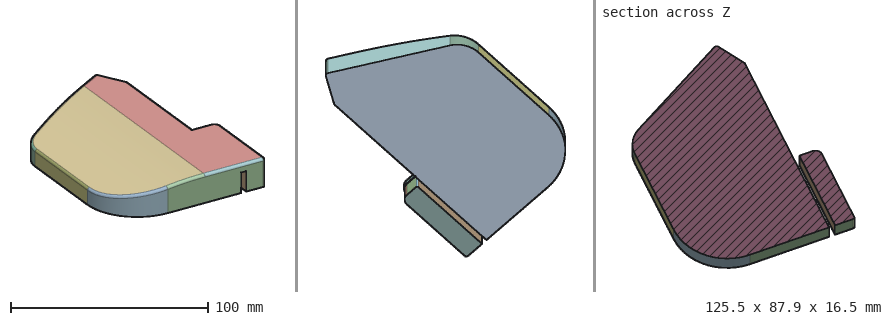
import cadquery as cq
import math

length = 125.5
width = 87.9
height = 16.5

shoulder_y = 73.3
tab_x = 78.3
slant_angle = 60.0
bevel_x = 15.3
tip_radius = 1.5
front_left_radius = 15.1
front_right_radius = 29.6
tab_corner_radius = 3.8
rear_right_radius = 1.5
top_fillet = 1.5

crown_y = 51.7
crown_radius = 194.6

groove_width = 3.1
groove_height = 11.7
post_inset = 0.3
post_edge_radius = 0.8
cut_margin = 6.3

slant = math.radians(slant_angle)
tip_x = -tip_radius * (math.sin(slant) + math.cos(slant) - 1)
tip_y = shoulder_y - (bevel_x - tip_x) / math.tan(slant)
front_left_x = tip_x + tip_y / math.tan(slant)


def round_upright(body, x, y, radius):
    """Round the vertical edge of the body that stands at (x, y)."""
    edge = cq.selectors.NearestToPointSelector((x, y, height / 2))
    return body.edges("|Z").edges(edge).fillet(radius)


def make_block():
    block = (
        cq.Workplane("XY")
        .moveTo(front_left_x, 0)
        .lineTo(length, 0)
        .lineTo(length, width)
        .lineTo(tab_x, width)
        .lineTo(tab_x, shoulder_y)
        .lineTo(bevel_x, shoulder_y)
        .lineTo(tip_x, tip_y)
        .close()
        .extrude(height)
    )
    block = round_upright(block, front_left_x, 0, front_left_radius)
    block = round_upright(block, length, 0, front_right_radius)
    block = round_upright(block, tab_x, width, tab_corner_radius)
    block = round_upright(block, length, width, rear_right_radius)
    return round_upright(block, tip_x, tip_y, tip_radius)


def arc_height(y):
    """Height of the top surface in front of the crown line."""
    return height - crown_radius + math.sqrt(crown_radius**2 - (crown_y - y) ** 2)


def make_crown_cutter():
    """Everything above the curved top surface, across the full length."""
    start_x = -cut_margin
    front_y = -cut_margin
    return (
        cq.Workplane("YZ", origin=(start_x, 0, 0))
        .moveTo(crown_y, height)
        .threePointArc((crown_y / 2, arc_height(crown_y / 2)), (front_y, arc_height(front_y)))
        .lineTo(front_y, height + cut_margin)
        .lineTo(crown_y, height + cut_margin)
        .close()
        .extrude(length + 2 * cut_margin)
    )


def make_groove_cutter():
    """Slot between the main body and the post, open below and at both ends."""
    return (
        cq.Workplane("XY")
        .box(length - tab_x + 2 * cut_margin, groove_width, groove_height, centered=False)
        .translate((tab_x - cut_margin, shoulder_y, 0))
    )


def make_post_trim():
    """Material removed so that the post sits slightly inside the tab above it."""
    post_x = tab_x + post_inset
    post_y = shoulder_y + groove_width
    post_rear_y = width - post_inset
    post_end_x = length + cut_margin
    surround = (
        cq.Workplane("XY")
        .box(post_end_x - tab_x, width + cut_margin - post_y, groove_height, centered=False)
        .translate((tab_x, post_y, 0))
    )
    post = (
        cq.Workplane("XY")
        .box(post_end_x - post_x, post_rear_y - post_y, groove_height, centered=False)
        .translate((post_x, post_y, 0))
    )
    post = round_upright(post, post_x, post_rear_y, tab_corner_radius)
    post = round_upright(post, post_x, post_y, post_edge_radius)
    return surround.cut(post)


def round_rim(body):
    """Round the outer edge of the top, leaving out the crown line shared by its two faces."""
    on_curve = (length / 2, crown_y / 2, arc_height(crown_y / 2))
    flat_face = body.faces(">Z")
    curved_face = body.faces(cq.selectors.NearestToPointSelector(on_curve))
    top_edges = flat_face.edges().vals() + curved_face.edges().vals()
    rim = [edge for edge in top_edges if sum(edge.isSame(other) for other in top_edges) == 1]
    return body.newObject(rim).fillet(top_fillet)


result = round_rim(make_block().cut(make_crown_cutter()))
result = result.cut(make_groove_cutter()).cut(make_post_trim())